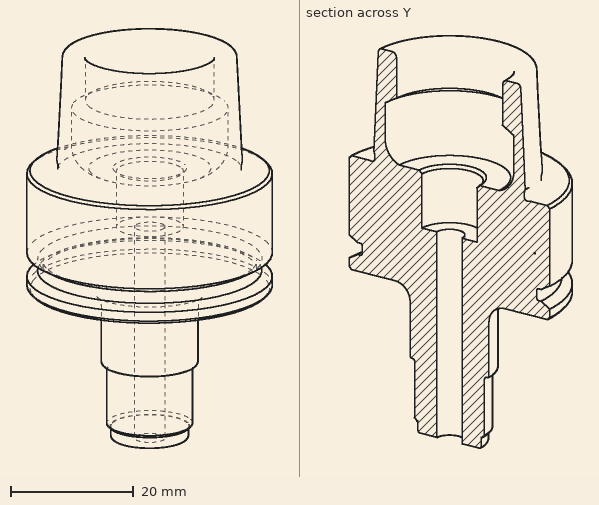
import cadquery as cq
import math


taper_top_z = 20.0
taper_gauge_z = 4.0
taper_gauge_dia = 30.0
taper_ratio = 0.1
taper_base_z = 1.8
taper_top_fillet = 0.8

neck_dia = 29.91
neck_top_z = 1.2
undercut_radius = 0.5
undercut_start_z = 0.4
undercut_outer_dia = 32.2

flange_dia = 40.0
flange_height = 20.0
flange_chamfer = 0.5
groove_dia = 34.8
groove_center_z = -16.0
groove_width = 2.0
groove_flank_height = 1.0
groove_flank_angle = math.radians(30)
groove_fillet = 0.4

shank_dia = 15.8
shank_length = 12.8
shank_root_fillet = 3.0
shank_end_fillet = 0.4
pilot_dia = 14.0
pilot_length = 10.7
pilot_chamfer = 0.5
pilot_root_fillet = 0.4
tip_dia = 12.7
tip_length = 2.0
tip_fillet = 0.5

bore_dia = 21.0
bore_mouth_fillet = 1.0
shoulder_depth = 8.0
shoulder_angle = math.radians(30)
chamber_dia = 25.5
chamber_wall_depth = 15.7
chamber_floor_fillet = 4.0
chamber_floor_dia = 19.9

pocket_dia = 10.92
pocket_mouth_dia = 12.0
pocket_depth = 10.0
coolant_dia = 5.0

flange_bottom_z = -flange_height
shank_bottom_z = flange_bottom_z - shank_length
pilot_bottom_z = shank_bottom_z - pilot_length
tip_bottom_z = pilot_bottom_z - tip_length

chamber_corner_r = chamber_dia / 2 - chamber_floor_fillet
chamber_corner_z = taper_top_z - chamber_wall_depth
chamber_arc_angle = math.acos((chamber_floor_dia / 2 - chamber_corner_r) / chamber_floor_fillet)
chamber_floor_z = chamber_corner_z - chamber_floor_fillet * math.sin(chamber_arc_angle)


def taper_radius(z):
    """Radius of the outer taper at height z."""
    return (taper_gauge_dia - taper_ratio * (z - taper_gauge_z)) / 2


def arc_about(profile, center, radius, start_angle, end_angle):
    """Continue the profile with an arc, from its current point at start_angle to end_angle (degrees)."""
    def point(angle):
        turn = math.radians(angle)
        return (center[0] + radius * math.cos(turn), center[1] + radius * math.sin(turn))

    return profile.threePointArc(point((start_angle + end_angle) / 2), point(end_angle))


def revolve(profile):
    """Close a radius-height profile and turn it about the Z axis."""
    return profile.close().revolve(360, (0, 0, 0), (0, 1, 0))


def make_shank():
    """Flared root, shank, pilot and tip below the flange."""
    shank_radius = shank_dia / 2
    pilot_radius = pilot_dia / 2
    tip_radius = tip_dia / 2
    tip_end = (tip_radius - tip_fillet, tip_bottom_z + tip_fillet)
    pilot_root = (pilot_radius + pilot_root_fillet, shank_bottom_z - pilot_root_fillet)
    shank_end = (shank_radius - shank_end_fillet, shank_bottom_z + shank_end_fillet)
    shank_root = (shank_radius + shank_root_fillet, flange_bottom_z - shank_root_fillet)

    profile = (
        cq.Workplane("XZ")
        .moveTo(0, tip_bottom_z)
        .lineTo(tip_end[0], tip_bottom_z)
    )
    profile = arc_about(profile, tip_end, tip_fillet, -90, 0)
    profile = (
        profile
        .lineTo(tip_radius, pilot_bottom_z)
        .lineTo(pilot_radius - pilot_chamfer, pilot_bottom_z)
        .lineTo(pilot_radius, pilot_bottom_z + pilot_chamfer)
        .lineTo(pilot_radius, pilot_root[1])
    )
    profile = arc_about(profile, pilot_root, pilot_root_fillet, 180, 90)
    profile = profile.lineTo(shank_end[0], shank_bottom_z)
    profile = arc_about(profile, shank_end, shank_end_fillet, -90, 0)
    profile = profile.lineTo(shank_radius, shank_root[1])
    profile = arc_about(profile, shank_root, shank_root_fillet, 180, 90)
    return revolve(profile.lineTo(0, flange_bottom_z))


def make_flange_and_taper():
    """Flange with chamfered rims, undercut neck and the taper on top."""
    flange_radius = flange_dia / 2
    rim_radius = flange_radius - flange_chamfer
    neck_radius = neck_dia / 2
    undercut_center = (neck_radius + undercut_radius, undercut_start_z)

    profile = (
        cq.Workplane("XZ")
        .moveTo(0, flange_bottom_z)
        .lineTo(rim_radius, flange_bottom_z)
        .lineTo(flange_radius, flange_bottom_z + flange_chamfer)
        .lineTo(flange_radius, -flange_chamfer)
        .lineTo(rim_radius, 0)
        .lineTo(undercut_outer_dia / 2, 0)
        .lineTo(undercut_center[0], undercut_start_z - undercut_radius)
    )
    profile = arc_about(profile, undercut_center, undercut_radius, 270, 180)
    profile = (
        profile
        .lineTo(neck_radius, neck_top_z)
        .lineTo(taper_radius(taper_base_z), taper_base_z)
        .lineTo(taper_radius(taper_top_z), taper_top_z)
        .lineTo(0, taper_top_z)
    )
    return revolve(profile).faces(">Z").edges().fillet(taper_top_fillet)


def make_gripper_groove():
    """Ring with sloped flanks, flat shoulders and a floor with rounded corners."""
    floor_radius = groove_dia / 2
    mouth_radius = flange_dia / 2
    flank_radius = mouth_radius - groove_flank_height / math.tan(groove_flank_angle)
    lower_z = groove_center_z - groove_width / 2
    upper_z = groove_center_z + groove_width / 2
    corner_radius = floor_radius + groove_fillet
    lower_corner = (corner_radius, lower_z + groove_fillet)
    upper_corner = (corner_radius, upper_z - groove_fillet)

    profile = (
        cq.Workplane("XZ")
        .moveTo(mouth_radius, upper_z + groove_flank_height)
        .lineTo(flank_radius, upper_z)
        .lineTo(corner_radius, upper_z)
    )
    profile = arc_about(profile, upper_corner, groove_fillet, 90, 180)
    profile = profile.lineTo(floor_radius, lower_corner[1])
    profile = arc_about(profile, lower_corner, groove_fillet, 180, 270)
    profile = (
        profile
        .lineTo(flank_radius, lower_z)
        .lineTo(mouth_radius, lower_z - groove_flank_height)
    )
    return revolve(profile)


def make_cavity():
    """Round-mouthed bore, wider clamping chamber, pocket and coolant hole."""
    bore_radius = bore_dia / 2
    chamber_radius = chamber_dia / 2
    pocket_radius = pocket_dia / 2
    pocket_mouth_radius = pocket_mouth_dia / 2
    coolant_radius = coolant_dia / 2
    shoulder_z = taper_top_z - shoulder_depth
    chamber_top_z = shoulder_z - (chamber_radius - bore_radius) * math.tan(shoulder_angle)
    mouth_center = (bore_radius + bore_mouth_fillet, taper_top_z - bore_mouth_fillet)
    floor_corner = (chamber_corner_r, chamber_corner_z)
    pocket_floor_z = chamber_floor_z - pocket_depth

    profile = (
        cq.Workplane("XZ")
        .moveTo(0, taper_top_z)
        .lineTo(mouth_center[0], taper_top_z)
    )
    profile = arc_about(profile, mouth_center, bore_mouth_fillet, 90, 180)
    profile = (
        profile
        .lineTo(bore_radius, shoulder_z)
        .lineTo(chamber_radius, chamber_top_z)
        .lineTo(chamber_radius, floor_corner[1])
    )
    profile = arc_about(profile, floor_corner, chamber_floor_fillet, 0, -math.degrees(chamber_arc_angle))
    profile = (
        profile
        .lineTo(pocket_mouth_radius, chamber_floor_z)
        .lineTo(pocket_radius, chamber_floor_z - (pocket_mouth_radius - pocket_radius))
        .lineTo(pocket_radius, pocket_floor_z)
        .lineTo(coolant_radius, pocket_floor_z)
        .lineTo(coolant_radius, tip_bottom_z)
        .lineTo(0, tip_bottom_z)
    )
    return revolve(profile)


holder = make_flange_and_taper().cut(make_gripper_groove()).union(make_shank())
result = holder.cut(make_cavity())